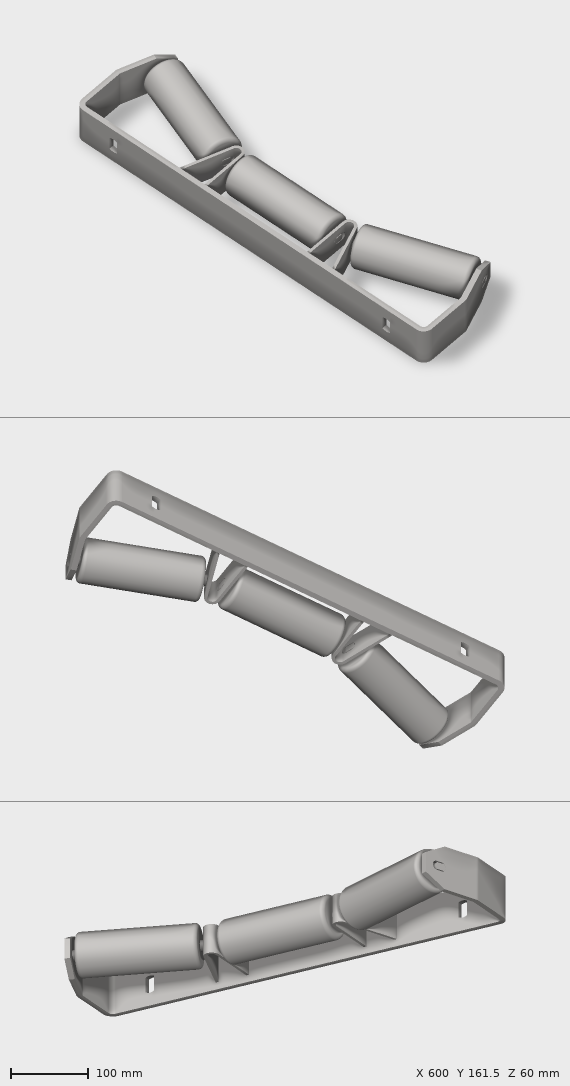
import cadquery as cq
import math


FRAME_LENGTH = 600.0
FRAME_HEIGHT = 161.5
STRAP_WIDTH = 60.0
STRAP_THICKNESS = 8.0
CORNER_RADIUS = 14.5
LEG_BEND_RADIUS = 11.0
TROUGH_ANGLE = 20.0
TIP_CHAMFER_LENGTH = 31.0
TIP_CHAMFER_DEPTH = 16.0

MOUNT_HOLE_OFFSET = 234.0
MOUNT_HOLE_DIAMETER = 24.0
MOUNT_HOLE_WIDTH = 12.5

BRACKET_WIDTH = 40.0
BRACKET_THICKNESS = 4.0
BRACKET_BEND_RADIUS = 11.0
BRACKET_TOP = 94.0

ROLLER_DIAMETER = 60.0
ROLLER_LENGTH = 161.0
ROLLER_FILLET = 5.5
END_GAP = 5.5
MIDDLE_AXIS_HEIGHT = 71.0
SIDE_AXIS_BELOW_TIP = 24.5
SHAFT_DIAMETER = 15.0
SHAFT_FLAT_WIDTH = 9.5
SLOT_LENGTH = 21.0
SLOT_WIDTH = 12.5
SLOT_RISE = 2.5

SIN = math.sin(math.radians(TROUGH_ANGLE))
COS = math.cos(math.radians(TROUGH_ANGLE))
X_AXIS = cq.Vector(1, 0, 0)
SIDE_AXIS = cq.Vector(COS, SIN, 0)
LEG_UP = cq.Vector(-SIN, COS, 0)
HALF_LENGTH = FRAME_LENGTH / 2
HALF_SPAN = ROLLER_LENGTH / 2 + END_GAP
BRACKET_BEND = cq.Vector(HALF_SPAN + BRACKET_BEND_RADIUS, BRACKET_TOP - BRACKET_BEND_RADIUS, 0)

BRACKET_FACE = BRACKET_BEND.dot(SIDE_AXIS) + BRACKET_BEND_RADIUS
LEG_OUTER_FACE = BRACKET_FACE + 2 * HALF_SPAN + STRAP_THICKNESS

LEG_TIP = cq.Vector((LEG_OUTER_FACE - FRAME_HEIGHT * SIN) / COS, FRAME_HEIGHT, 0)
LEG_BEND_X = HALF_LENGTH - LEG_BEND_RADIUS
LEG_BEND = cq.Vector(LEG_BEND_X, (LEG_OUTER_FACE - LEG_BEND_RADIUS - LEG_BEND_X * COS) / SIN, 0)
CORNER = cq.Vector(HALF_LENGTH - CORNER_RADIUS, CORNER_RADIUS, 0)

MIDDLE_CENTRE = cq.Vector(0, MIDDLE_AXIS_HEIGHT, 0)
SIDE_CENTRE = LEG_TIP - LEG_UP * SIDE_AXIS_BELOW_TIP - SIDE_AXIS * (STRAP_THICKNESS + HALF_SPAN)


def xy(point):
    """The X and Y of a vector."""
    return point.x, point.y


def on_arc(centre, radius, degrees):
    """Point at the given angle on a circle in the XY plane."""
    angle = math.radians(degrees)
    return centre.x + radius * math.cos(angle), centre.y + radius * math.sin(angle)


def mirrored(shape):
    """The same shape on the -X side."""
    return shape.mirror("YZ")


def extrude_centred(outline, width):
    """Close an XY outline and extrude it along Z, centred on Z = 0."""
    return outline.close().extrude(width / 2, both=True)


def across_shaft(origin, axis):
    """Workplane across a shaft: local X up along its support, local Y along Z."""
    return cq.Workplane(cq.Plane(origin, xDir=(-axis.y, axis.x, 0), normal=axis))


def shaft_slot(face_point, axis, depth):
    """Cutter for the slot that carries a shaft tip, from the support face along the axis."""
    face = across_shaft(face_point, axis)
    return face.center(SLOT_RISE, 0).slot2D(SLOT_LENGTH, SLOT_WIDTH).extrude(depth)


def make_half_frame():
    """The +X half of the bent strap."""
    inner_corner_radius = CORNER_RADIUS - STRAP_THICKNESS
    inner_bend_radius = LEG_BEND_RADIUS - STRAP_THICKNESS
    outline = (
        cq.Workplane("XY")
        .moveTo(0, 0)
        .lineTo(CORNER.x, 0)
        .threePointArc(on_arc(CORNER, CORNER_RADIUS, -45), (HALF_LENGTH, CORNER.y))
        .lineTo(HALF_LENGTH, LEG_BEND.y)
        .threePointArc(
            on_arc(LEG_BEND, LEG_BEND_RADIUS, TROUGH_ANGLE / 2),
            on_arc(LEG_BEND, LEG_BEND_RADIUS, TROUGH_ANGLE),
        )
        .lineTo(*xy(LEG_TIP))
        .lineTo(*xy(LEG_TIP - SIDE_AXIS * STRAP_THICKNESS))
        .lineTo(*on_arc(LEG_BEND, inner_bend_radius, TROUGH_ANGLE))
        .threePointArc(
            on_arc(LEG_BEND, inner_bend_radius, TROUGH_ANGLE / 2),
            on_arc(LEG_BEND, inner_bend_radius, 0),
        )
        .lineTo(HALF_LENGTH - STRAP_THICKNESS, CORNER.y)
        .threePointArc(on_arc(CORNER, inner_corner_radius, -45), (CORNER.x, STRAP_THICKNESS))
        .lineTo(0, STRAP_THICKNESS)
    )
    half = extrude_centred(outline, STRAP_WIDTH)
    for side in (-1, 1):
        half = half.cut(tip_chamfer(side))
    leg_face = SIDE_CENTRE + SIDE_AXIS * HALF_SPAN
    return half.cut(shaft_slot(leg_face, SIDE_AXIS, STRAP_THICKNESS)).cut(mount_hole())


def tip_chamfer(side):
    """Cutter for one corner of the leg tip, at +Z or -Z."""
    edge = side * STRAP_WIDTH / 2
    return (
        across_shaft(LEG_TIP, SIDE_AXIS)
        .polyline([(0, edge), (-TIP_CHAMFER_LENGTH, edge), (0, edge - side * TIP_CHAMFER_DEPTH)])
        .close()
        .extrude(-STRAP_THICKNESS)
    )


def mount_hole():
    """Cutter for a flat-sided mounting hole through the base."""
    base = cq.Workplane("XZ").center(MOUNT_HOLE_OFFSET, 0)
    round_hole = base.circle(MOUNT_HOLE_DIAMETER / 2).extrude(-STRAP_THICKNESS)
    flats = base.rect(MOUNT_HOLE_WIDTH, MOUNT_HOLE_DIAMETER).extrude(-STRAP_THICKNESS)
    return round_hole.intersect(flats)


def make_bracket():
    """The +X bracket: an upright leg and a leaning leg joined by a round bend."""
    inner_radius = BRACKET_BEND_RADIUS - BRACKET_THICKNESS
    crown_angle = (180 + TROUGH_ANGLE) / 2

    def foot(face_distance):
        """Where a leaning face meets the top of the base."""
        return (face_distance - STRAP_THICKNESS * SIN) / COS, STRAP_THICKNESS

    outline = (
        cq.Workplane("XY")
        .moveTo(HALF_SPAN, STRAP_THICKNESS)
        .lineTo(HALF_SPAN, BRACKET_BEND.y)
        .threePointArc(
            on_arc(BRACKET_BEND, BRACKET_BEND_RADIUS, crown_angle),
            on_arc(BRACKET_BEND, BRACKET_BEND_RADIUS, TROUGH_ANGLE),
        )
        .lineTo(*foot(BRACKET_FACE))
        .lineTo(*foot(BRACKET_FACE - BRACKET_THICKNESS))
        .lineTo(*on_arc(BRACKET_BEND, inner_radius, TROUGH_ANGLE))
        .threePointArc(
            on_arc(BRACKET_BEND, inner_radius, crown_angle),
            on_arc(BRACKET_BEND, inner_radius, 180),
        )
        .lineTo(HALF_SPAN + BRACKET_THICKNESS, STRAP_THICKNESS)
    )
    slot_depth = BRACKET_BEND_RADIUS
    upright_slot = shaft_slot(MIDDLE_CENTRE + X_AXIS * HALF_SPAN, X_AXIS, slot_depth)
    leaning_slot = shaft_slot(SIDE_CENTRE - SIDE_AXIS * HALF_SPAN, SIDE_AXIS, -slot_depth)
    bent_plate = extrude_centred(outline, BRACKET_WIDTH)
    return bent_plate.cut(upright_slot).cut(leaning_slot)


def make_roller(centre, axis, inner_tip, outer_tip):
    """A roller with its shaft; each flattened tip is as long as its support is thick."""
    barrel_end = across_shaft(centre - axis * (ROLLER_LENGTH / 2), axis)
    shaft_end = across_shaft(centre - axis * HALF_SPAN, axis)
    barrel = barrel_end.circle(ROLLER_DIAMETER / 2).extrude(ROLLER_LENGTH)
    barrel = barrel.edges("%CIRCLE").fillet(ROLLER_FILLET)
    shaft = shaft_end.circle(SHAFT_DIAMETER / 2).extrude(2 * HALF_SPAN)
    roller = barrel.union(shaft)
    for direction, length in ((-1, inner_tip), (1, outer_tip)):
        shoulder = centre + axis * (direction * HALF_SPAN)
        roller = roller.union(shaft_tip(shoulder, axis, direction * length))
    return roller


def shaft_tip(shoulder, axis, length):
    """Shaft end with two flats facing +Z and -Z; a negative length runs against the axis."""
    start = across_shaft(shoulder, axis)
    round_end = start.circle(SHAFT_DIAMETER / 2).extrude(length)
    flats = start.rect(SHAFT_DIAMETER, SHAFT_FLAT_WIDTH).extrude(length)
    return round_end.intersect(flats)


half_frame = make_half_frame()
frame = half_frame.union(mirrored(half_frame))

bracket = make_bracket()
brackets = [bracket, mirrored(bracket)]

middle_roller = make_roller(MIDDLE_CENTRE, X_AXIS, BRACKET_THICKNESS, BRACKET_THICKNESS)
side_roller = make_roller(SIDE_CENTRE, SIDE_AXIS, BRACKET_THICKNESS, STRAP_THICKNESS)
rollers = [middle_roller, side_roller, mirrored(side_roller)]

result = cq.Compound.makeCompound([body.val() for body in [frame, *brackets, *rollers]])